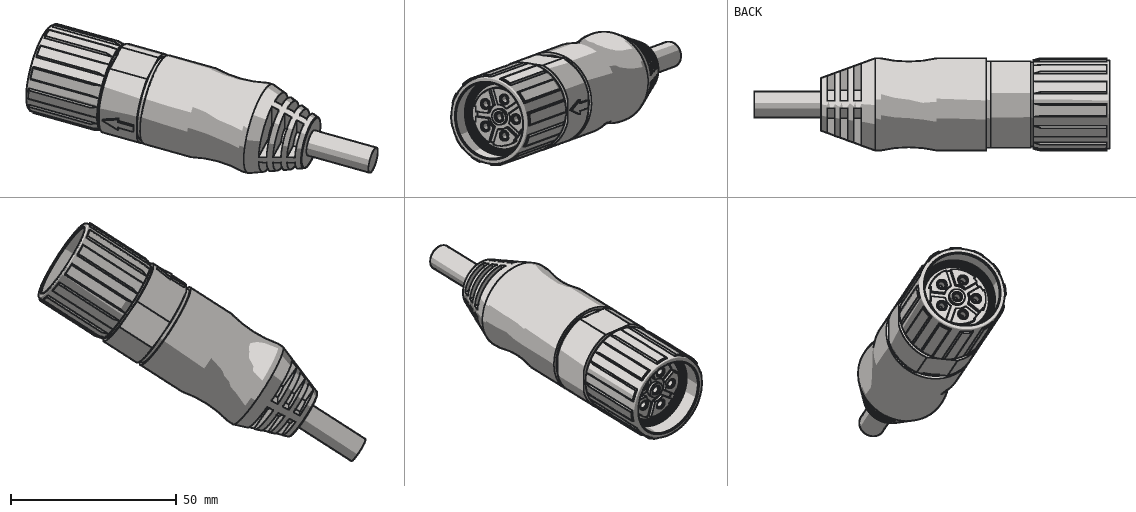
import cadquery as cq
import math


trim_margin = 1.1

nut_length = 23.1
nut_radius = 13.4
nut_bore_radius = 11.7
nut_edge_fillet = 0.4
nut_bore_chamfer = 0.3

pad_count = 12
pad_height = 0.5
pad_radius = nut_radius + pad_height
pad_start = 1.0
pad_taper_start = 21.0
pad_first_angle = 22.5
pad_half_angle = 7.3
pad_foot_half_angle = 9.2

body_radius = 14.0
recess_radius = 13.1
waist_radius = 13.0
neck_radius = 12.8
core_start = 5.4
collar_start = 23.9
collar_end = 36.0
grip_start = 37.3
waist_start = 52.4
waist_end = 69.2
cone_start = 71.0
cone_end = 87.4
cone_end_radius = 8.1
cone_edge_chamfer = 0.2
cable_radius = 4.0
total_length = 107.5

flat_distance_z = 13.1
flat_distance_y = 13.5
arrow_height = 0.6
arrow_tip = 25.2
arrow_head_end = 30.2
arrow_tail_end = 35.2
arrow_head_half_width = 2.3
arrow_shaft_half_width = 1.2

slot_starts = [75.1, 79.2, 83.2]
slot_width = 2.3
slot_core_radius = 4.4
slot_rib_half_width = 1.2

socket_mouth_radius = 11.4
socket_chamfer = 0.3
socket_radius = 10.6
socket_step = 6.2
socket_floor_radius = 10.1
socket_floor = 7.1
insert_face = 5.8
insert_radius = 8.9
insert_notch_distance = 8.2
insert_notch_width = 4.7
notched_channels = [0, 2, 3]
channel_floor = 6.9
channel_width = 1.6
hub_radius = 3.9
boss_radius = 2.42

contact_count = 5
contact_circle_radius = 5.9
contact_mouth_radius = 1.56
contact_mouth_depth = 0.4
contact_bore_radius = 1.1
contact_bore_depth = 3.2


def disc(radius, start, end):
    """Cylinder on the X axis between two X positions."""
    return cq.Workplane("YZ").workplane(offset=start).circle(radius).extrude(end - start)


def polar(radius, angle):
    """Point in the YZ plane; the angle is in degrees from +Y toward +Z."""
    return (radius * math.cos(math.radians(angle)), radius * math.sin(math.radians(angle)))


def revolve_profile(profile):
    return profile.close().revolve(360, (0, 0, 0), (1, 0, 0))


def make_pad(angle):
    """Trapezoidal bar along X, before it is trimmed to the pad envelope."""
    root_radius = (nut_bore_radius + nut_radius) / 2
    spread_per_radius = (pad_foot_half_angle - pad_half_angle) / pad_height
    outer_half_angle = pad_half_angle - spread_per_radius * trim_margin
    root_half_angle = pad_foot_half_angle + spread_per_radius * (nut_radius - root_radius)
    corners = [
        polar(root_radius, angle - root_half_angle),
        polar(pad_radius + trim_margin, angle - outer_half_angle),
        polar(pad_radius + trim_margin, angle + outer_half_angle),
        polar(root_radius, angle + root_half_angle),
    ]
    section = cq.Workplane("YZ").workplane(offset=pad_start).polyline(corners).close()
    return section.extrude(nut_length - pad_start)


def make_coupling_nut():
    ring = disc(nut_radius, 0, nut_length).faces("<X").edges().fillet(nut_edge_fillet)
    pad_envelope = revolve_profile(
        cq.Workplane("XZ")
        .moveTo(pad_start, 0)
        .lineTo(pad_start, pad_radius)
        .lineTo(pad_taper_start, pad_radius)
        .lineTo(nut_length, nut_radius)
        .lineTo(nut_length, 0)
    )
    for index in range(pad_count):
        pad = make_pad(pad_first_angle + index * 360 / pad_count)
        ring = ring.union(pad.intersect(pad_envelope))
    bore = revolve_profile(
        cq.Workplane("XZ")
        .lineTo(0, nut_bore_radius + nut_bore_chamfer)
        .lineTo(nut_bore_chamfer, nut_bore_radius)
        .lineTo(nut_length, nut_bore_radius)
        .lineTo(nut_length, 0)
    )
    return ring.cut(bore)


def make_outer_shape():
    """Core, collar, waisted grip, cone and cable as one turned shape."""
    waist_middle = (waist_start + waist_end) / 2
    waist_half_length = waist_middle - waist_start
    waist_depth = body_radius - waist_radius
    waist_arc_radius = (waist_half_length**2 + waist_depth**2) / (2 * waist_depth)
    return revolve_profile(
        cq.Workplane("XZ")
        .moveTo(core_start, 0)
        .lineTo(core_start, nut_bore_radius)
        .lineTo(nut_length, nut_bore_radius)
        .lineTo(nut_length, neck_radius)
        .lineTo(collar_start, neck_radius)
        .lineTo(collar_start, body_radius)
        .lineTo(collar_end, body_radius)
        .lineTo(collar_end, recess_radius)
        .lineTo(grip_start, recess_radius)
        .lineTo(grip_start, body_radius)
        .lineTo(waist_start, body_radius)
        .radiusArc((waist_middle, waist_radius), -waist_arc_radius)
        .radiusArc((waist_end, body_radius), -waist_arc_radius)
        .lineTo(cone_start, body_radius)
        .lineTo(cone_end - cone_edge_chamfer, cone_end_radius)
        .lineTo(cone_end, cone_end_radius - cone_edge_chamfer)
        .lineTo(cone_end, cable_radius)
        .lineTo(total_length, cable_radius)
        .lineTo(total_length, 0)
    )


def make_collar_trim():
    """Material outside the four flats of the collar."""
    length = collar_end - collar_start
    ring = disc(body_radius + trim_margin, collar_start, collar_end)
    inside = cq.Workplane("YZ").workplane(offset=collar_start)
    return ring.cut(inside.rect(2 * flat_distance_y, 2 * flat_distance_z).extrude(length))


def make_arrow():
    """Arrow raised on the -Y flat, pointing to the mating face."""
    outline = [
        (arrow_tip, 0),
        (arrow_head_end, arrow_head_half_width),
        (arrow_head_end, arrow_shaft_half_width),
        (arrow_tail_end, arrow_shaft_half_width),
        (arrow_tail_end, -arrow_shaft_half_width),
        (arrow_head_end, -arrow_shaft_half_width),
        (arrow_head_end, -arrow_head_half_width),
    ]
    flat = cq.Workplane("XZ").workplane(offset=flat_distance_y)
    return flat.polyline(outline).close().extrude(arrow_height)


def make_slot_ring(start):
    """Ring-shaped slot left open only between the four ribs."""
    end = start + slot_width
    ring = disc(body_radius, start, end).cut(disc(slot_core_radius, start, end))
    rib_plane = cq.Workplane("YZ").workplane(offset=start)
    rib_y = rib_plane.rect(2 * body_radius, 2 * slot_rib_half_width).extrude(slot_width)
    rib_z = rib_plane.rect(2 * slot_rib_half_width, 2 * body_radius).extrude(slot_width)
    return ring.cut(rib_y).cut(rib_z)


def make_socket():
    """Stepped opening around the contact insert."""
    return revolve_profile(
        cq.Workplane("XZ")
        .moveTo(core_start, 0)
        .lineTo(core_start, socket_mouth_radius)
        .lineTo(core_start + socket_chamfer, socket_mouth_radius - socket_chamfer)
        .lineTo(core_start + socket_chamfer, socket_radius)
        .lineTo(socket_step, socket_radius)
        .lineTo(socket_step, socket_floor_radius + socket_chamfer)
        .lineTo(socket_step + socket_chamfer, socket_floor_radius)
        .lineTo(socket_floor, socket_floor_radius)
        .lineTo(socket_floor, 0)
    )


def make_insert():
    """Five raised islands around a hub, divided by radial channels, some with notched ends."""
    island_height = channel_floor - insert_face
    insert = disc(insert_radius, insert_face, socket_floor)
    channels = disc(hub_radius, insert_face, channel_floor)
    for index in range(contact_count):
        angle = index * 360 / contact_count
        plane = cq.Workplane("YZ").workplane(offset=insert_face)
        if index in notched_channels:
            notch = plane.center(insert_notch_distance + insert_radius / 2, 0)
            notch = notch.rect(insert_radius, insert_notch_width).extrude(socket_floor - insert_face)
            insert = insert.cut(notch.rotate((0, 0, 0), (1, 0, 0), angle))
        channel = plane.center(insert_radius / 2, 0).rect(insert_radius, channel_width).extrude(island_height)
        channels = channels.union(channel.rotate((0, 0, 0), (1, 0, 0), angle))
    return insert.cut(channels).union(disc(boss_radius, insert_face, socket_floor))


def make_contact_holes():
    """Stepped holes at the centre and, halfway between the channels, on a circle."""
    first_angle = 180 / contact_count
    places = [(0, 0)]
    for index in range(contact_count):
        places.append(polar(contact_circle_radius, first_angle + index * 360 / contact_count))
    face = cq.Workplane("YZ").workplane(offset=insert_face).pushPoints(places)
    mouths = face.circle(contact_mouth_radius).extrude(contact_mouth_depth)
    bores = face.circle(contact_bore_radius).extrude(contact_bore_depth)
    return mouths.union(bores)


def make_connector_body():
    body = make_outer_shape().cut(make_collar_trim()).union(make_arrow())
    for start in slot_starts:
        body = body.cut(make_slot_ring(start))
    return body.cut(make_socket()).union(make_insert()).cut(make_contact_holes())


coupling_nut = make_coupling_nut()
connector_body = make_connector_body()
result = cq.Compound.makeCompound([coupling_nut.val(), connector_body.val()])